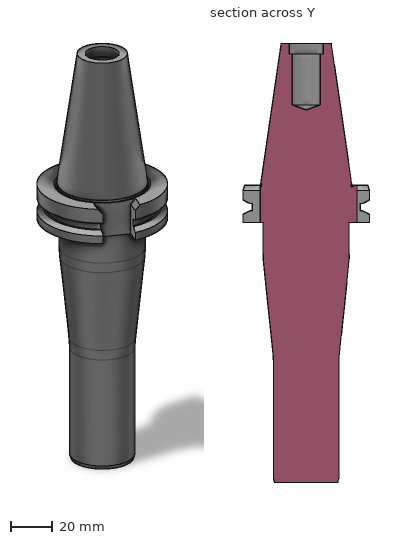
import cadquery as cq
import math

total_height = 213.2
gauge_z = 145.0
flange_top_z = 144.4
flange_bottom_z = 126.2

taper_ratio = 7 / 24
taper_large_diameter = 44.4
taper_small_diameter = taper_large_diameter - (total_height - gauge_z) * taper_ratio

relief_diameter = 44.0
relief_rim_diameter = 47.0
relief_floor_diameter = 45.2
relief_depth = 0.6

flange_diameter = 63.5
groove_floor_diameter = 55.0
groove_top_z = 137.1
groove_bottom_z = 130.3
groove_flank_height = 1.7
groove_shoulder_diameter = 57.2

slot_width = 16.2
slot_chamfer = 2.5
slot_floor_left = 24.7
slot_floor_right = 22.4

neck_diameter = 42.0
shank_diameter = 32.0
cone_top_z = 108.8
cone_bottom_z = 60.5
blend_radius = 50.0
end_chamfer_height = 2.0
end_chamfer_width = 0.6

counterbore_diameter = 16.5
counterbore_depth = 5.1
bore_diameter = 13.5
bore_depth = 29.9
drill_point_angle = 140.0


def revolve_profile(points):
    """Revolve a closed outline of (radius, z) points about the Z axis."""
    return cq.Workplane("XZ").polyline(points).close().revolve(360, (0, 0, 0), (0, 1, 0))


def make_lower_body():
    """Shank, cone and neck, with the cone blended into both cylinders."""
    neck_radius = neck_diameter / 2
    shank_radius = shank_diameter / 2
    cone_angle = math.atan2(neck_radius - shank_radius, cone_top_z - cone_bottom_z)
    tangent_length = blend_radius * math.tan(cone_angle / 2)
    along_r = tangent_length * math.sin(cone_angle)
    along_z = tangent_length * math.cos(cone_angle)
    return (
        cq.Workplane("XZ")
        .moveTo(0, 0)
        .lineTo(shank_radius - end_chamfer_width, 0)
        .lineTo(shank_radius, end_chamfer_height)
        .lineTo(shank_radius, cone_bottom_z - tangent_length)
        .tangentArcPoint((shank_radius + along_r, cone_bottom_z + along_z), relative=False)
        .lineTo(neck_radius - along_r, cone_top_z - along_z)
        .tangentArcPoint((neck_radius, cone_top_z + tangent_length), relative=False)
        .lineTo(neck_radius, flange_bottom_z)
        .lineTo(0, flange_bottom_z)
        .close()
        .revolve(360, (0, 0, 0), (0, 1, 0))
    )


def make_flange():
    """Grooved flange with a conical relief around the foot of the taper."""
    rim_radius = flange_diameter / 2
    shoulder_radius = groove_shoulder_diameter / 2
    floor_radius = groove_floor_diameter / 2
    return revolve_profile([
        (0, flange_bottom_z),
        (rim_radius, flange_bottom_z),
        (rim_radius, groove_bottom_z),
        (shoulder_radius, groove_bottom_z + groove_flank_height),
        (floor_radius, groove_bottom_z + groove_flank_height),
        (floor_radius, groove_top_z - groove_flank_height),
        (shoulder_radius, groove_top_z - groove_flank_height),
        (rim_radius, groove_top_z),
        (rim_radius, flange_top_z),
        (relief_rim_diameter / 2, flange_top_z),
        (relief_floor_diameter / 2, flange_top_z - relief_depth),
        (0, flange_top_z - relief_depth),
    ])


def make_taper():
    """Taper standing on the short relief cylinder."""
    return revolve_profile([
        (0, flange_top_z - relief_depth),
        (relief_diameter / 2, flange_top_z - relief_depth),
        (relief_diameter / 2, gauge_z),
        (taper_large_diameter / 2, gauge_z),
        (taper_small_diameter / 2, total_height),
        (0, total_height),
    ])


def make_slot_cutter(side, floor_distance):
    """Cutter for one drive slot, widened by a chamfer at the flange top; side is -1 or +1."""
    half_width = slot_width / 2
    half_mouth = half_width + slot_chamfer
    outline = [
        (-half_width, flange_bottom_z),
        (half_width, flange_bottom_z),
        (half_width, flange_top_z - slot_chamfer),
        (half_mouth, flange_top_z),
        (-half_mouth, flange_top_z),
        (-half_width, flange_top_z - slot_chamfer),
    ]
    return (
        cq.Workplane("YZ", origin=(side * floor_distance, 0, 0))
        .polyline(outline)
        .close()
        .extrude(side * flange_diameter / 2)
    )


def make_bore():
    """Stepped blind bore with a drill point."""
    bore_radius = bore_diameter / 2
    counterbore_radius = counterbore_diameter / 2
    counterbore_z = total_height - counterbore_depth
    bore_end_z = total_height - bore_depth
    point_height = bore_radius / math.tan(math.radians(drill_point_angle / 2))
    return revolve_profile([
        (0, total_height),
        (counterbore_radius, total_height),
        (counterbore_radius, counterbore_z),
        (bore_radius, counterbore_z),
        (bore_radius, bore_end_z),
        (0, bore_end_z - point_height),
    ])


result = make_lower_body().union(make_flange()).union(make_taper())
for side, floor_distance in ((-1, slot_floor_left), (1, slot_floor_right)):
    result = result.cut(make_slot_cutter(side, floor_distance))
result = result.cut(make_bore())